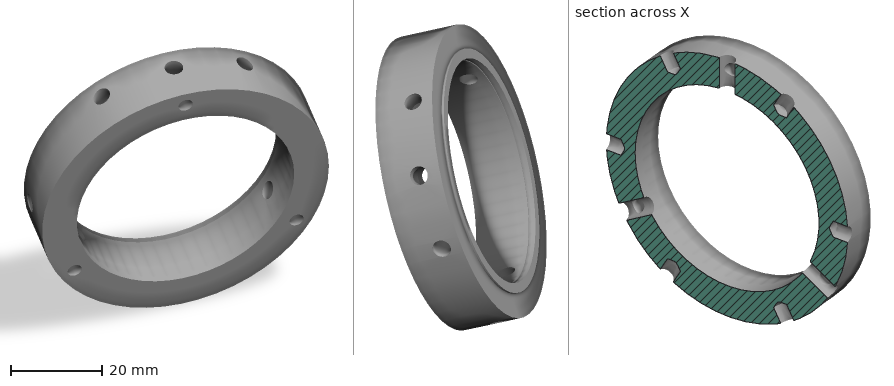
import cadquery as cq
import math

outer_diameter = 66.0
total_width = 14.0
spigot_diameter = 55.0
spigot_length = 0.5
bore_diameter = 50.0
recess_diameter = 50.5
recess_depth = 1.5

hole_diameter = 4.1
spanner_hole_offset = 5.0
spanner_hole_depth = 4.0
drill_point_angle = 118.0
spanner_hole_angles = range(0, 360, 60)
screw_hole_offset = 5.5
screw_hole_angles = range(90, 450, 120)

axial_hole_diameter = 3.25
axial_hole_radius_from_axis = 29.5

outer_radius = outer_diameter / 2
hole_radius = hole_diameter / 2
start_x = -total_width / 2


def disc(diameter, length, x):
    """Solid disc about the X axis, extending from x towards +X."""
    return cq.Workplane("YZ", origin=(x, 0, 0)).circle(diameter / 2).extrude(length)


def place_on_rim(cutter, offset, angle):
    """Turn a cutter lying along +Y to an angle measured from +Y towards +Z."""
    return cutter.rotate((0, 0, 0), (1, 0, 0), angle).translate((start_x + offset, 0, 0))


def spanner_hole_cutter():
    """Blind drilled hole with a conical bottom, pointing inwards along Y."""
    floor = outer_radius - spanner_hole_depth
    point_height = hole_radius / math.tan(math.radians(drill_point_angle / 2))
    profile = [
        (0, outer_radius),
        (hole_radius, outer_radius),
        (hole_radius, floor),
        (0, floor - point_height),
    ]
    return cq.Workplane("XY").polyline(profile).close().revolve(360, (0, 0), (0, 1))


def screw_hole_cutter():
    """Plain hole from the ring axis out through the rim along +Y."""
    return cq.Workplane("XZ").circle(hole_radius).extrude(-outer_radius)


def axial_hole_cutter():
    """Blind hole along +X, starting on the screw hole axis and at the +Y position."""
    depth = total_width - screw_hole_offset
    return disc(axial_hole_diameter, depth, 0).translate((0, axial_hole_radius_from_axis, 0))


rim = disc(outer_diameter, total_width - spigot_length, start_x + spigot_length)
result = rim.union(disc(spigot_diameter, total_width, start_x))
result = result.cut(disc(bore_diameter, total_width, start_x))
result = result.cut(disc(recess_diameter, recess_depth, start_x))

for angle in spanner_hole_angles:
    result = result.cut(place_on_rim(spanner_hole_cutter(), spanner_hole_offset, angle))

for angle in screw_hole_angles:
    result = result.cut(place_on_rim(screw_hole_cutter(), screw_hole_offset, angle))
    result = result.cut(place_on_rim(axial_hole_cutter(), screw_hole_offset, angle))